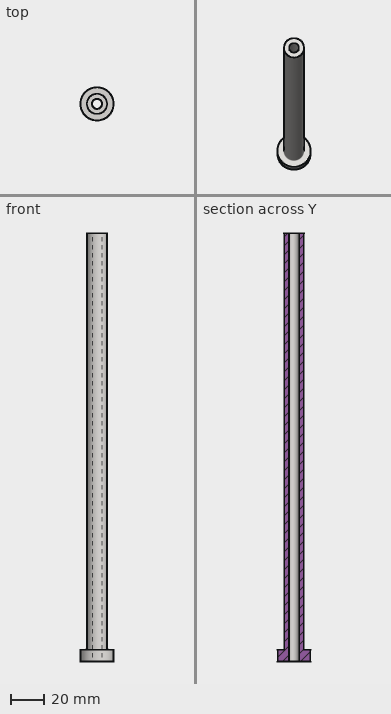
import cadquery as cq

total_length = 257.0
head_diameter = 20.0
head_height = 7.2
shank_diameter = 12.0
bore_diameter = 6.0
neck_fillet = 0.5

head_radius = head_diameter / 2
shank_radius = shank_diameter / 2
bore_radius = bore_diameter / 2

half_section = (
    cq.Workplane("XZ")
    .moveTo(bore_radius, 0)
    .lineTo(head_radius, 0)
    .lineTo(head_radius, head_height)
    .lineTo(shank_radius + neck_fillet, head_height)
    .radiusArc((shank_radius, head_height + neck_fillet), neck_fillet)
    .lineTo(shank_radius, total_length)
    .lineTo(bore_radius, total_length)
    .close()
)

result = half_section.revolve(360, (0, 0, 0), (0, 1, 0))